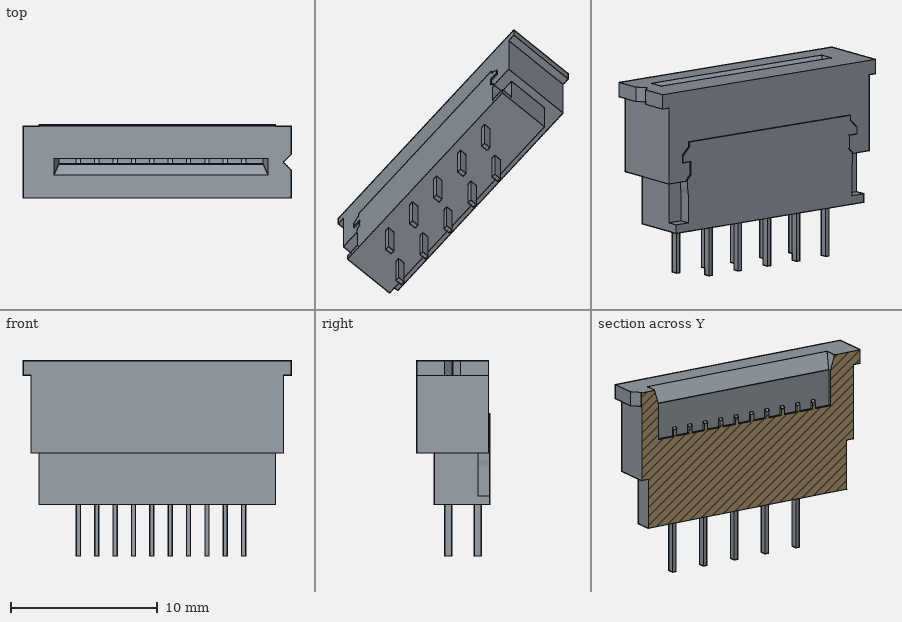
import cadquery as cq
import math


overall_width = 5.0

flange_length = 18.25
flange_thickness = 1.0
notch_depth = 0.55

housing_height = 9.8
upper_length = 17.2
upper_bottom_z = 3.5
lower_length = 16.1
lower_width = 3.8

latch_projection = 0.1
latch_depth = 0.82
latch_top_z = 6.22
foot_height = 0.6

neck_inset = 1.04
neck_top_z = 2.6
step_inset = 0.99
step_bottom_z = 3.03
step_top_z = 3.63
waist_chamfer = 0.27
head_inset = 0.6
head_bottom_z = 4.84
head_side_height = 0.51
head_chamfer = 0.55

slot_offset_x = 0.25
slot_length = 14.56
slot_back_y = 0.24
slot_width = 1.1
taper_depth = 1.05
taper_end_inset = 0.33
taper_front_inset = 0.71
ledge_width = 0.05
slot_depth = housing_height - latch_top_z

contact_count = 10
contact_span = 11.25
contact_thickness = 0.3
contact_nose_radius = 0.73
pin_width = 0.5
pin_length = 3.5
pin_row_spacing = 2.0
back_row_inset = 0.84

contact_pitch = contact_span / (contact_count - 1)
flange_width = overall_width - latch_projection
back_y = flange_width / 2 + latch_projection
latch_front_y = back_y - latch_depth
contact_xs = [
    slot_offset_x - contact_span / 2 + i * contact_pitch
    for i in range(contact_count)
]


def block(length, center_x, y_min, y_max, z_min, z_max):
    """Box centred in X, given by its limits in Y and Z."""
    return cq.Workplane("XY").box(
        length, y_max - y_min, z_max - z_min, centered=(True, False, False)
    ).translate((center_x, y_min, z_min))


def make_flange():
    """Top flange with a V notch in the middle of its +X edge."""
    flange = block(
        flange_length, 0, -flange_width / 2, flange_width / 2,
        housing_height - flange_thickness, housing_height,
    )
    edge_x = flange_length / 2
    notch = (
        cq.Workplane("XY", origin=(0, 0, housing_height - flange_thickness))
        .polyline([
            (edge_x, -notch_depth),
            (edge_x, notch_depth),
            (edge_x - notch_depth, 0),
        ])
        .close()
        .extrude(flange_thickness)
    )
    return flange.cut(notch)


def make_housing():
    """Upper body and the narrower, shallower lower block."""
    upper = block(
        upper_length, 0, -flange_width / 2, flange_width / 2,
        upper_bottom_z, housing_height,
    )
    lower = block(
        lower_length, 0, back_y - lower_width, latch_front_y,
        0, upper_bottom_z,
    )
    return upper.union(lower)


def make_latch():
    """Symmetric stepped plate on the back, from the wide foot up to the sloped head."""
    waist_inset = step_inset + waist_chamfer
    top_inset = head_inset + head_chamfer
    head_side_top_z = head_bottom_z + head_side_height
    steps = [
        (0, 0),
        (0, foot_height),
        (neck_inset, foot_height),
        (neck_inset, neck_top_z),
        (step_inset, step_bottom_z),
        (step_inset, step_top_z),
        (waist_inset, step_top_z + waist_chamfer),
        (waist_inset, head_bottom_z),
        (head_inset, head_bottom_z),
        (head_inset, head_side_top_z),
        (top_inset, head_side_top_z + head_chamfer),
        (top_inset, latch_top_z),
    ]
    left_side = [(inset - lower_length / 2, z) for inset, z in steps]
    right_side = [(-x, z) for x, z in reversed(left_side)]
    return (
        cq.Workplane("XZ", origin=(0, back_y, 0))
        .polyline(left_side + right_side)
        .close()
        .extrude(latch_depth)
    )


def make_slot():
    """Tapered mouth with a flat back wall, leading into a straight channel."""
    throat_length = slot_length - 2 * taper_end_inset
    throat_width = slot_width - taper_front_inset
    throat_z = housing_height - taper_depth
    mouth_center_y = slot_back_y - slot_width / 2
    throat_center_y = slot_back_y - throat_width / 2
    mouth = (
        cq.Workplane("XY", origin=(slot_offset_x, mouth_center_y, housing_height))
        .rect(slot_length, slot_width)
        .workplane(offset=-taper_depth)
        .center(0, throat_center_y - mouth_center_y)
        .rect(throat_length, throat_width)
        .loft(ruled=True)
    )
    channel = block(
        throat_length, slot_offset_x, slot_back_y - throat_width + ledge_width, slot_back_y,
        housing_height - slot_depth, throat_z,
    )
    return mouth.union(channel)


def make_contact(x):
    """Rib on the slot floor with a round nose that meets the back wall tangentially."""
    floor_z = housing_height - slot_depth
    reach = slot_width - taper_front_inset - ledge_width
    front_y = slot_back_y - reach
    nose_center_y = slot_back_y - contact_nose_radius
    front_angle = math.acos((front_y - nose_center_y) / contact_nose_radius)

    def nose_point(angle):
        return (
            nose_center_y + contact_nose_radius * math.cos(angle),
            floor_z + contact_nose_radius * math.sin(angle),
        )

    return (
        cq.Workplane("YZ", origin=(x - contact_thickness / 2, 0, 0))
        .moveTo(front_y, floor_z)
        .lineTo(slot_back_y, floor_z)
        .threePointArc(nose_point(front_angle / 2), nose_point(front_angle))
        .close()
        .extrude(contact_thickness)
    )


def make_pin(index, x):
    """Solder pin; even pins stand in the back row, odd pins in the front row."""
    y = back_y - back_row_inset - (index % 2) * pin_row_spacing
    return block(contact_thickness, x, y - pin_width / 2, y + pin_width / 2, -pin_length, 0)


result = make_flange().union(make_housing()).union(make_latch()).cut(make_slot())
for index, x in enumerate(contact_xs):
    result = result.union(make_contact(x)).union(make_pin(index, x))